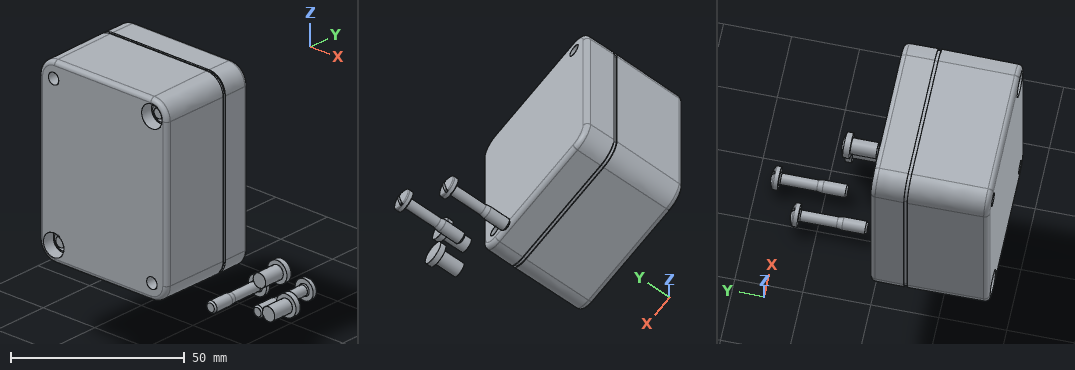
import cadquery as cq
import math

WIDTH = 50.0
HEIGHT = 65.0
BASE_DEPTH = 24.0
GASKET_THICKNESS = 1.0
LID_DEPTH = 10.0
CORNER_RADIUS = 6.3
EDGE_FILLET = 1.5
DRAFT_ANGLE = 0.5
GASKET_RECESS = 0.45

HOLE_X = 19.0
HOLE_Z = 26.5
MOUNTING_HOLE_DIAMETER = 4.0
INSERT_CORNERS = [(HOLE_X, HOLE_Z), (-HOLE_X, -HOLE_Z)]
MOUNTING_CORNERS = [(-HOLE_X, HOLE_Z), (HOLE_X, -HOLE_Z)]

ACCESS_DEPTH = 4.0
ACCESS_MOUTH_DIAMETER = 7.9
ACCESS_FLOOR_DIAMETER = 7.4
INSERT_SEAT_DEPTH = 5.4
INSERT_DIAMETER = 6.5
INSERT_THICKNESS = 2.7
INSERT_STUB_DIAMETER = 3.5
INSERT_STUB_LENGTH = 2.5

SCREW_PLACES = [(15.1, -54.5, 72.4), (4.3, -53.7, 64.4)]
SCREW_LENGTH = 22.7
SCREW_HEAD_DIAMETER = 7.1
SCREW_HEAD_HEIGHT = 2.6
SCREW_DOME_HEIGHT = 1.1
SCREW_RIM_FILLET = 0.45
SCREW_NECK_DIAMETER = 4.0
SCREW_NECK_LENGTH = 0.45
SCREW_SHANK_DIAMETER = 3.4
SCREW_THREAD_DIAMETER = 4.0
SCREW_THREAD_LENGTH = 7.2
SCREW_TAPER_LENGTH = 1.6
SCREW_TIP_CHAMFER = 0.5
SCREW_SLOT_WIDTH = 0.8
SCREW_SLOT_DEPTH = 1.2

PLUG_PLACES = [(22.4, -39.7), (25.9, -49.3)]
PLUG_TOP_Y = 53.0
PLUG_LENGTH = 10.4
PLUG_HEAD_DIAMETER = 7.6
PLUG_HEAD_HEIGHT = 2.8
PLUG_DOME_HEIGHT = 0.9
PLUG_SHAFT_DIAMETER = 4.8


def rounded_block(y_start, depth, direction, inset=0.0, draft=0.0):
    """Rounded rectangle extruded along Y from y_start; direction is +1 or -1."""
    plane = cq.Plane(origin=(0, y_start, 0), xDir=(direction, 0, 0), normal=(0, direction, 0))
    outline = cq.Sketch().rect(WIDTH - 2 * inset, HEIGHT - 2 * inset)
    outline = outline.vertices().fillet(CORNER_RADIUS - inset)
    return cq.Workplane(plane).placeSketch(outline).extrude(depth, taper=draft)


def cylinder(x, z, y_start, length, diameter):
    """Cylinder along +Y."""
    return cq.Workplane(cq.Solid.makeCylinder(diameter / 2, length, (x, y_start, z), (0, 1, 0)))


def turned(outline):
    """Revolve a radius-Y outline around the Y axis."""
    return outline.close().revolve(360, (0, 0, 0), (0, 1, 0))


def drill_mounting_holes(body):
    total_depth = BASE_DEPTH + GASKET_THICKNESS + LID_DEPTH
    for x, z in MOUNTING_CORNERS:
        body = body.cut(cylinder(x, z, 0, total_depth, MOUNTING_HOLE_DIAMETER))
    return body


def make_base():
    body = rounded_block(BASE_DEPTH, BASE_DEPTH, -1, draft=DRAFT_ANGLE)
    body = body.faces("<Y").edges().fillet(EDGE_FILLET)
    for x, z in INSERT_CORNERS:
        access = cq.Solid.makeCone(
            ACCESS_MOUTH_DIAMETER / 2, ACCESS_FLOOR_DIAMETER / 2, ACCESS_DEPTH, (x, 0, z), (0, 1, 0)
        )
        body = body.cut(cq.Workplane(access))
        seat_length = INSERT_SEAT_DEPTH + INSERT_THICKNESS - ACCESS_DEPTH
        body = body.cut(cylinder(x, z, ACCESS_DEPTH, seat_length, INSERT_DIAMETER))
    return drill_mounting_holes(body)


def make_gasket():
    return drill_mounting_holes(rounded_block(BASE_DEPTH, GASKET_THICKNESS, 1, inset=GASKET_RECESS))


def make_lid():
    body = rounded_block(BASE_DEPTH + GASKET_THICKNESS, LID_DEPTH, 1, draft=DRAFT_ANGLE)
    body = body.faces(">Y").edges().fillet(EDGE_FILLET)
    return drill_mounting_holes(body)


def make_insert(x, z):
    """Closed insert: a disc in the narrow bore with a stub that stands out toward the rear."""
    disc = cylinder(x, z, INSERT_SEAT_DEPTH, INSERT_THICKNESS, INSERT_DIAMETER)
    stub_start = INSERT_SEAT_DEPTH - INSERT_STUB_LENGTH
    return disc.union(cylinder(x, z, stub_start, INSERT_STUB_LENGTH, INSERT_STUB_DIAMETER))


def start_domed_head(head_diameter, dome_height):
    """Begin a radius-Y outline with a spherical dome from the axis at Y = 0 out to the head rim."""
    head_radius = head_diameter / 2
    dome_radius = (head_radius**2 + dome_height**2) / (2 * dome_height)
    middle_radius = head_radius / 2
    middle_y = math.sqrt(dome_radius**2 - middle_radius**2) - dome_radius
    return cq.Workplane("XY").threePointArc((middle_radius, middle_y), (head_radius, -dome_height))


def make_screw(x, z, top_y):
    """Slotted screw along Y with its domed head at the +Y end."""
    head_radius = SCREW_HEAD_DIAMETER / 2
    shank_radius = SCREW_SHANK_DIAMETER / 2
    thread_radius = SCREW_THREAD_DIAMETER / 2
    thread_end = SCREW_THREAD_LENGTH - SCREW_LENGTH
    screw = turned(
        start_domed_head(SCREW_HEAD_DIAMETER, SCREW_DOME_HEIGHT)
        .lineTo(head_radius, -SCREW_HEAD_HEIGHT)
        .lineTo(SCREW_NECK_DIAMETER / 2, -SCREW_HEAD_HEIGHT)
        .lineTo(shank_radius, -SCREW_HEAD_HEIGHT - SCREW_NECK_LENGTH)
        .lineTo(shank_radius, thread_end + SCREW_TAPER_LENGTH)
        .lineTo(thread_radius, thread_end)
        .lineTo(thread_radius, SCREW_TIP_CHAMFER - SCREW_LENGTH)
        .lineTo(thread_radius - SCREW_TIP_CHAMFER, -SCREW_LENGTH)
        .lineTo(0, -SCREW_LENGTH)
    )
    reach = head_radius + 0.9
    rim = cq.selectors.BoxSelector(
        (-reach, -SCREW_DOME_HEIGHT - SCREW_RIM_FILLET, -reach),
        (reach, -SCREW_DOME_HEIGHT + SCREW_RIM_FILLET, reach),
    )
    screw = screw.edges(rim).edges("%CIRCLE").fillet(SCREW_RIM_FILLET)
    slot = cq.Workplane("XY").box(SCREW_SLOT_WIDTH, 2 * SCREW_SLOT_DEPTH, SCREW_HEAD_DIAMETER)
    return screw.cut(slot).translate((x, top_y, z))


def make_plug(x, z):
    """Plug along Y with its domed head at the +Y end."""
    head_radius = PLUG_HEAD_DIAMETER / 2
    shaft_radius = PLUG_SHAFT_DIAMETER / 2
    plug = turned(
        start_domed_head(PLUG_HEAD_DIAMETER, PLUG_DOME_HEIGHT)
        .lineTo(head_radius, -PLUG_HEAD_HEIGHT)
        .lineTo(shaft_radius, -PLUG_HEAD_HEIGHT)
        .lineTo(shaft_radius, -PLUG_LENGTH)
        .lineTo(0, -PLUG_LENGTH)
    )
    return plug.translate((x, PLUG_TOP_Y, z))


base = make_base()
gasket = make_gasket()
lid = make_lid()
inserts = [make_insert(x, z) for x, z in INSERT_CORNERS]
screws = [make_screw(x, z, top_y) for x, z, top_y in SCREW_PLACES]
plugs = [make_plug(x, z) for x, z in PLUG_PLACES]

result = cq.Compound.makeCompound(
    [base.val(), gasket.val(), lid.val()] + [body.val() for body in inserts + screws + plugs]
)